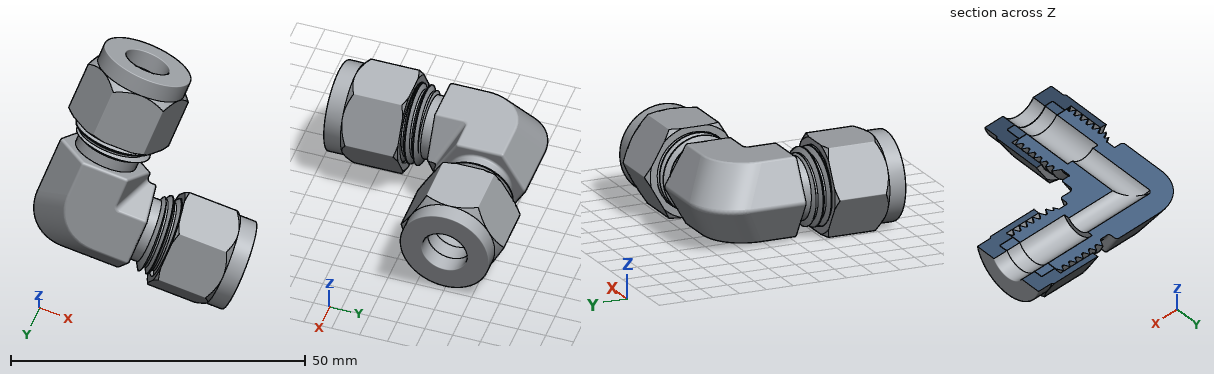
import cadquery as cq
import math


overall = 38.0

nut_flats = 16.0
nut_edge_fillet = 0.15
nut_start = 15.35
nut_back_face_diameter = 16.72
nut_back_chamfer_angle = 30.0
nut_front_chamfer_angle = 45.0
nut_collar_length = 3.05
nut_rim_fillet = 0.15

body_flats = 14.4
body_face = 10.2
body_fillet = 0.5
outer_ridge_fillet = 0.8
outer_bend_radius = 9.0
inner_bend_radius = 1.0
neck_diameter = 11.2
neck_root_fillet = 0.4

thread_start = 12.15
thread_pitch = 1.52
thread_crest_diameter = 14.0
thread_root_diameter = 12.1
thread_crest_width = 0.2
thread_base_width = 1.3
thread_crest_place = 12.65
thread_chamfer_angle = 30.0
thread_embed = 0.1
thread_clearance = 0.08

tube_diameter = 8.05
tube_seat = 12.55
flow_diameter = 6.25
flow_corner_offset = 0.57
flow_corner_margin = 0.1

ferrule_length = 2.93
ferrule_diameter = 11.2
ferrule_edge_fillet = 0.15

tolerance = 0.005

corner_per_flat = 2 / math.sqrt(3)
half_hexagon_step = 360 / 6 / 2
nut_corners = nut_flats * corner_per_flat
body_corners = body_flats * corner_per_flat
nut_edge_loss = nut_edge_fillet * (corner_per_flat - 1)
arm_end = overall - (nut_corners / 2 - nut_edge_loss)
collar_start = arm_end - nut_collar_length
body_end = collar_start - ferrule_length
nut_bore_diameter = thread_crest_diameter + 2 * thread_clearance


def cylinder(diameter, start, end):
    """Cylinder around the Z axis between two heights."""
    return cq.Workplane("XY").workplane(offset=start).circle(diameter / 2).extrude(end - start)


def revolved(points):
    """Solid of revolution around Z from (radius, height) points."""
    return cq.Workplane("XZ").polyline(points).close().revolve(360, (0, 0, 0), (0, 1, 0))


def on_both_arms(part):
    """The part turned onto the X arm and onto the -Y arm."""
    on_x = part.rotate((0, 0, 0), (0, 1, 0), 90)
    return [on_x.rotate((0, 0, 0), (0, 0, 1), turn) for turn in (0, -90)]


def elbow_path(length):
    return cq.Workplane("XY").polyline([(length, 0), (0, 0), (0, -length)])


def on_end_face(point):
    return max(point.x, -point.y) > body_face - tolerance


def on_flat(point):
    return abs(point.z) > body_flats / 2 - tolerance


def is_miter_edge(edge):
    """True for the sloping edges where the side faces of the two arms meet."""
    middle = edge.Center()
    on_miter = abs(middle.x + middle.y) < tolerance
    return on_miter and abs(middle.z) > tolerance and not on_flat(middle)


def is_outer_ridge(edge):
    """True for the edges at mid-height that run round the outside of the bend."""
    middle = edge.Center()
    return abs(middle.z) < tolerance and middle.y > middle.x and not on_end_face(middle)


def is_flat_border(edge):
    """True for the borders of the top and bottom flats, except where they meet an end face."""
    middle = edge.Center()
    return on_flat(middle) and not on_end_face(middle)


def hexagonal_elbow():
    section = cq.Workplane("YZ", origin=(body_face, 0, 0)).polygon(6, body_corners)
    elbow = section.sweep(elbow_path(body_face), transition="right").val()
    outer_bend = [e for e in elbow.Edges() if is_miter_edge(e) and e.Center().x < 0]
    elbow = elbow.fillet(outer_bend_radius, outer_bend)
    inner_bend = [e for e in elbow.Edges() if is_miter_edge(e) and e.Center().x > 0]
    elbow = elbow.fillet(inner_bend_radius, inner_bend)
    elbow = elbow.fillet(outer_ridge_fillet, [e for e in elbow.Edges() if is_outer_ridge(e)])
    elbow = elbow.fillet(body_fillet, [e for e in elbow.Edges() if is_flat_border(e)])
    elbow = cq.Workplane(elbow)
    return elbow.faces(">X or <Y").edges().fillet(body_fillet)


def thread_ridge():
    """Helical ridge of trapezoidal section, longer than the threaded length."""
    root = thread_root_diameter / 2 - thread_embed
    crest = thread_crest_diameter / 2
    start = thread_crest_place - thread_pitch
    helix = cq.Wire.makeHelix(thread_pitch, body_end - start + thread_pitch, root)
    section = cq.Workplane("XZ").polyline([
        (root, -thread_base_width / 2),
        (crest, -thread_crest_width / 2),
        (crest, thread_crest_width / 2),
        (root, thread_base_width / 2),
    ]).close()
    return section.sweep(cq.Workplane(helix), isFrenet=True).translate((0, 0, start))


def threaded_end():
    """Neck and threaded part of an arm; the thread starts on a cone that rises from the neck."""
    neck = neck_diameter / 2
    outside = thread_crest_diameter / 2 + thread_clearance
    cone_length = (outside - neck) * math.tan(math.radians(thread_chamfer_angle))
    envelope = revolved([
        (0, thread_start),
        (neck, thread_start),
        (outside, thread_start + cone_length),
        (outside, body_end),
        (0, body_end),
    ])
    overrun = 2 * thread_pitch
    core = cylinder(thread_root_diameter, thread_start - overrun, body_end + overrun)
    thread = core.union(thread_ridge()).intersect(envelope)
    return cylinder(neck_diameter, 0, thread_start).union(thread)


def neck_root():
    """Concave fillet between the end face of the body and the neck of the X arm."""
    neck = neck_diameter / 2
    ring = (
        cq.Workplane("XZ")
        .moveTo(0, body_face)
        .lineTo(neck + neck_root_fillet, body_face)
        .radiusArc((neck, body_face + neck_root_fillet), neck_root_fillet)
        .lineTo(0, body_face + neck_root_fillet)
        .close()
        .revolve(360, (0, 0, 0), (0, 1, 0))
    )
    return on_both_arms(ring)[0]


def flow_passage():
    """Mitered round passage whose outer corner is blunted by a round surface at 45 degrees."""
    reach = 2 * flow_diameter
    section = cq.Workplane("YZ", origin=(body_end, 0, 0)).circle(flow_diameter / 2)
    passage = section.sweep(elbow_path(body_end), transition="right")
    diagonal = cq.Plane(origin=(0, 0, 0), xDir=(-1, 1, 0), normal=(1, 1, 0))
    blunt_height = flow_diameter - 2 * flow_corner_margin
    corner = (
        cq.Workplane(diagonal)
        .center(flow_corner_offset, 0)
        .rect(reach, blunt_height)
        .extrude(flow_diameter, both=True)
    )
    inward = (
        cq.Workplane(diagonal)
        .center(flow_corner_offset - reach / 2, 0)
        .rect(reach, reach)
        .extrude(reach, both=True)
    )
    round_surface = (
        cq.Workplane(diagonal)
        .center(flow_corner_offset, 0)
        .circle(flow_diameter / 2)
        .extrude(reach, both=True)
    )
    return passage.cut(corner.cut(inward).cut(round_surface))


def make_elbow():
    elbow = hexagonal_elbow().union(neck_root())
    for end in on_both_arms(threaded_end()):
        elbow = elbow.union(end)
    elbow = elbow.cut(flow_passage())
    for socket in on_both_arms(cylinder(tube_diameter, tube_seat, body_end)):
        elbow = elbow.cut(socket)
    return elbow


def nut_hexagon():
    """Hexagonal prism with both ends turned down to cones, the front one ending at the collar."""
    prism = (
        cq.Workplane("XY")
        .workplane(offset=nut_start)
        .polygon(6, nut_corners)
        .extrude(collar_start - nut_start)
        .rotate((0, 0, 0), (0, 0, 1), half_hexagon_step)
        .edges("|Z")
        .fillet(nut_edge_fillet)
    )
    corner = nut_corners / 2
    back = nut_back_face_diameter / 2
    collar = nut_flats / 2
    back_cone = (corner - back) * math.tan(math.radians(nut_back_chamfer_angle))
    front_cone = (corner - collar) * math.tan(math.radians(nut_front_chamfer_angle))
    turned = revolved([
        (0, nut_start),
        (back, nut_start),
        (corner, nut_start + back_cone),
        (corner, collar_start - front_cone),
        (collar, collar_start),
        (0, collar_start),
    ])
    return prism.intersect(turned)


def make_nut():
    collar = cylinder(nut_flats, collar_start, arm_end)
    nut = (
        nut_hexagon()
        .union(collar)
        .cut(cylinder(nut_bore_diameter, nut_start, body_end))
        .cut(cylinder(ferrule_diameter, body_end, collar_start))
        .cut(cylinder(tube_diameter, collar_start, arm_end))
    )
    return nut.faces(">Z").edges().fillet(nut_rim_fillet)


def make_ferrule():
    """Ring round the tube, held between the end of the elbow and the front wall of the nut."""
    ring = cylinder(ferrule_diameter, body_end, collar_start)
    ring = ring.cut(cylinder(tube_diameter, body_end, collar_start))
    inner_rim = ring.faces(">Z").edges(cq.selectors.RadiusNthSelector(0))
    return inner_rim.fillet(ferrule_edge_fillet)


elbow = make_elbow()
nuts = on_both_arms(make_nut())
ferrules = on_both_arms(make_ferrule())

result = cq.Compound.makeCompound([
    body.solids().val() for body in [elbow, *nuts, *ferrules]
])